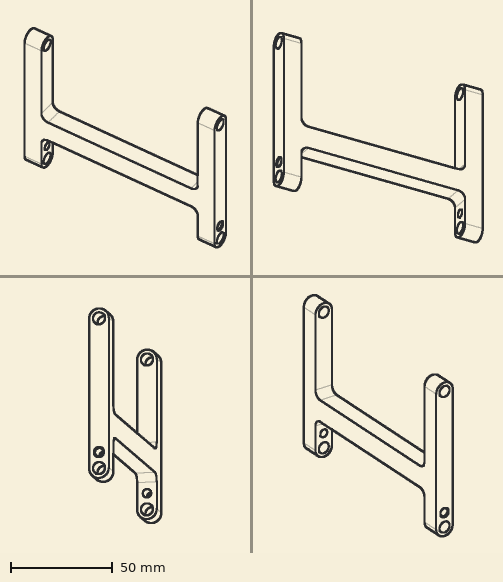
import cadquery as cq

length = 113.0
height = 85.0
arm_width = 10.1
depth = 10.0
end_radius = depth / 2

bar_bottom = 22.5
bar_height = 12.0
corner_radius = 4.0

pivot_diameter = 6.0
small_diameter = 4.2
small_mouth_diameter = 5.1
countersink_depth = (small_mouth_diameter - small_diameter) / 2
pivot_heights = (end_radius, height - end_radius)
small_hole_offset = 8.0
small_height = end_radius + small_hole_offset

arm_center_x = (length - arm_width) / 2


def make_arm(center_x):
    """Upright bar with fully rounded ends in the YZ plane."""
    return (
        cq.Workplane("YZ", origin=(center_x - arm_width / 2, 0, height / 2))
        .slot2D(height, depth, 90)
        .extrude(arm_width)
    )


def hole_along_x(diameter, center_z):
    """Cutter that passes through both arms."""
    return (
        cq.Workplane("YZ", origin=(-length / 2, 0, center_z))
        .circle(diameter / 2)
        .extrude(length)
    )


bar = cq.Workplane("XY", origin=(0, 0, bar_bottom)).box(
    length - 2 * arm_width, depth, bar_height, centered=(True, True, False)
)
frame = make_arm(-arm_center_x).union(make_arm(arm_center_x)).union(bar)

inner_x = length / 2 - arm_width
for x in (-inner_x, inner_x):
    for z in (bar_bottom, bar_bottom + bar_height):
        corner = cq.selectors.NearestToPointSelector((x, 0, z))
        frame = frame.edges("|Y").edges(corner).fillet(corner_radius)

for z in pivot_heights:
    frame = frame.cut(hole_along_x(pivot_diameter, z))
frame = frame.cut(hole_along_x(small_diameter, small_height))

for side in (-1, 1):
    countersink = cq.Solid.makeCone(
        small_mouth_diameter / 2,
        small_diameter / 2,
        countersink_depth,
        pnt=cq.Vector(side * length / 2, 0, small_height),
        dir=cq.Vector(-side, 0, 0),
    )
    frame = frame.cut(cq.Workplane(obj=countersink))

result = frame